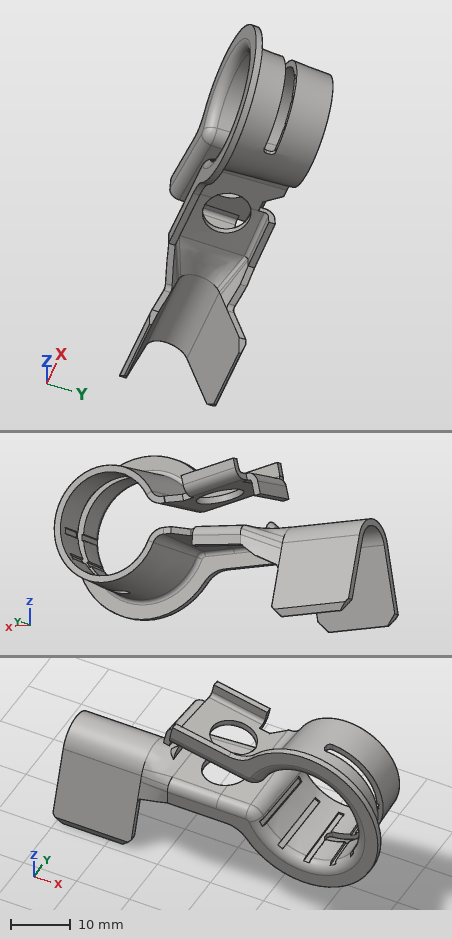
import cadquery as cq
import math

thickness = 1.15
bend_outer = 1.9
bend_inner = bend_outer - thickness

ring_x = 47.2
ring_z = 19.2
bend_line_radius = 11.4
flange_width = 2.45
flange_radius = bend_line_radius + flange_width
flange_front = -8.05
bend_y = flange_front + bend_outer
wall_length = 13.55
wall_taper = 3.1

slot_y = -0.35
slot_width = 2.1
slot_corner = 0.75
groove_width = 1.05
groove_depth = 0.3
groove_rear = 5.45
groove_count = 6
groove_first = 90
groove_step = 30

neck_radius = 0.7
flange_blend = 4.9
upper_offset = 2.9
upper_slope = 11.5
upper_end = -26.45
lower_offset = 4.3
lower_end = -25.8
hole_diameter = 8.1
hole_y = -0.4
upper_hole = -18.0
lower_hole = -18.75

lug_bend = wall_length - bend_outer
lug_drop = 1.65
upper_lug_end = -15.6
lower_lug_end = -16.6
notch_y = 4.45
notch_floor = 1.95
notch_slope_run = 2.75

end_skew = 2.5
lip_front = -5.0
lip_rear = 4.2
lip_depth = 4.9
lip_overlap = 0.9

saddle_length = 14.8
saddle_top = 16.7
saddle_radius = 5.0
leg_angle = 17.9
tip_height = 1.3
tip_inset = 0.4
corner_run = 1.7
corner_rise = 1.85
shoulder_angle = 32
crease_angle = 35
leg_crease_z = 12.2
root_z = 9.15
root_fillet = 1.2

bump_x = 19.4
bump_axis_z = 15.7
bump_radius = 2.3
bump_length = 2.7

cutter = 122.1


def sin(degrees):
    return math.sin(math.radians(degrees))


def cos(degrees):
    return math.cos(math.radians(degrees))


def polar(centre, radius, clock):
    """Point at a clockwise angle from +Z about a centre in the XZ plane."""
    return (centre[0] + radius * sin(clock), centre[1] + radius * cos(clock))


def clock_angle(start, end):
    return math.degrees(math.atan2(end[0] - start[0], end[1] - start[1]))


def tangent_centre(offset, ring_radius, radius):
    """Centre of an arc that touches both an arm edge and a ring edge."""
    reach = math.sqrt((ring_radius + radius) ** 2 - (offset + radius) ** 2)
    return (-reach, offset + radius)


def wall_point(along, depth, taper):
    """(Y, depth) of a wall point; depth is measured from the front bend's centre."""
    return (
        bend_y + along * cos(taper) - depth * sin(taper),
        along * sin(taper) + depth * cos(taper),
    )


def bend_point(radius, angle):
    return (bend_y + radius * cos(angle), radius * sin(angle))


def wall_profile(plane, base, sign, taper=wall_taper, lug=False):
    """Front bend and wall in section; the depth runs from `base` along `sign`."""

    def at(point):
        return (point[0], base + sign * point[1])

    def wall(along, depth):
        return at(wall_point(along, depth, taper))

    middle = (270 + taper) / 2
    profile = (
        plane.moveTo(*at(bend_point(bend_inner, 180)))
        .lineTo(*at(bend_point(bend_outer, 180)))
        .threePointArc(at(bend_point(bend_outer, middle)), wall(0, bend_outer))
    )
    if lug:
        outer_mid = wall(lug_bend + bend_outer * sin(45), bend_outer * cos(45))
        inner_mid = wall(lug_bend + bend_inner * sin(45), bend_inner * cos(45))
        profile = (
            profile.lineTo(*wall(lug_bend, bend_outer))
            .threePointArc(outer_mid, wall(lug_bend + bend_outer, 0))
            .lineTo(*wall(lug_bend + bend_outer, -lug_drop))
            .lineTo(*wall(lug_bend + bend_inner, -lug_drop))
            .lineTo(*wall(lug_bend + bend_inner, 0))
            .threePointArc(inner_mid, wall(lug_bend, bend_inner))
        )
    else:
        profile = profile.lineTo(*wall(wall_length, bend_outer)).lineTo(*wall(wall_length, bend_inner))
    return (
        profile.lineTo(*wall(0, bend_inner))
        .threePointArc(at(bend_point(bend_inner, middle)), at(bend_point(bend_inner, 180)))
        .close()
    )


def turned_wall(base, sign, start, sweep):
    """The wall profile turned clockwise about the Y axis."""
    body = wall_profile(cq.Workplane("YZ"), base, sign).revolve(sweep, (0, 0), (1, 0))
    return body.rotate((0, 0, 0), (0, 1, 0), start)


def arm_piece(offset, start, start_taper, end, end_taper, lug=False):
    first = wall_profile(cq.Workplane("YZ", origin=(start, 0, 0)), offset, -1, start_taper, lug)
    second = wall_profile(cq.Workplane("YZ", origin=(end, 0, 0)), offset, -1, end_taper, lug)
    wires = [first.wires().val(), second.wires().val()]
    return cq.Workplane(obj=cq.Solid.makeLoft(wires, True))


def arm(offset, end, end_taper, lug_end, hole_x):
    """Arm running to -X with its flange upwards, ring axis at the origin."""
    neck = tangent_centre(offset, bend_line_radius, neck_radius)
    neck_start = clock_angle(neck, (0, 0))
    bend = turned_wall(neck_radius, 1, neck_start, 180 - neck_start).translate((neck[0], 0, neck[1]))
    plain = arm_piece(offset, lug_end, wall_taper, neck[0], wall_taper)
    lugged = arm_piece(offset, end, end_taper, lug_end, wall_taper, lug=True)
    notch_top = bend_y + wall_length + 0.6
    notch = (
        cq.Workplane("XY")
        .moveTo(lug_end, notch_y)
        .lineTo(lug_end + notch_floor, notch_y)
        .lineTo(lug_end + notch_floor + notch_slope_run, notch_top)
        .lineTo(lug_end, notch_top)
        .close()
        .extrude(cutter, both=True)
    )
    hole = cq.Workplane("XY").center(hole_x, hole_y).circle(hole_diameter / 2).extrude(cutter, both=True)
    return plain.cut(notch).union(bend).union(lugged).cut(hole)


def end_trim():
    """Block beyond the upper arm's skewed end, pivoted at the front of the flange."""
    block = cq.Workplane("XY").box(cutter, cutter, cutter).translate((-cutter / 2, 0, 0))
    block = block.rotate((0, flange_front, 0), (0, flange_front, 1), -end_skew)
    return block.translate((upper_end, 0, 0))


def lip():
    """Lip bent off the upper arm's end, set a little askew to the arm."""
    sheet_z = -bend_outer
    centre_z = sheet_z - bend_inner
    body = (
        cq.Workplane("XZ", origin=(0, lip_rear, 0))
        .moveTo(lip_overlap, sheet_z)
        .lineTo(lip_overlap, sheet_z + thickness)
        .lineTo(0, sheet_z + thickness)
        .threePointArc(polar((0, centre_z), bend_outer, -45), (-bend_outer, centre_z))
        .lineTo(-bend_outer, -lip_depth)
        .lineTo(-bend_inner, -lip_depth)
        .lineTo(-bend_inner, centre_z)
        .threePointArc(polar((0, centre_z), bend_inner, -45), (0, sheet_z))
        .close()
        .extrude(lip_rear - lip_front)
    )
    return (
        body.rotate((0, bend_y, 0), (1, bend_y, 0), -wall_taper)
        .rotate((0, flange_front, 0), (0, flange_front, 1), -end_skew)
        .translate((upper_end, 0, upper_offset))
    )


def place_upper(point):
    return (
        point[0] * cos(upper_slope) + point[1] * sin(upper_slope),
        point[1] * cos(upper_slope) - point[0] * sin(upper_slope),
    )


def place_lower(point):
    return (point[0], -point[1])


def edge_points(offset, ring_radius, radius, end, place):
    """End, tangent points and arc middle along one edge of an arm, from the free end inwards."""
    centre = tangent_centre(offset, ring_radius, radius)
    inward = clock_angle(centre, (0, 0))
    points = [
        (end, offset),
        (centre[0], offset),
        polar(centre, radius, (180 + inward) / 2),
        polar(centre, radius, inward),
    ]
    return [place(point) for point in points]


def flange():
    """Flat flange around the ring and along both arms."""
    outer_arc = (flange_width, flange_radius, flange_blend)
    inner_arc = (0, bend_line_radius, neck_radius)
    sides = []
    for width, radius, blend in (outer_arc, inner_arc):
        upper = edge_points(upper_offset + width, radius, blend, upper_end, place_upper)
        lower = edge_points(lower_offset + width, radius, blend, lower_end, place_lower)
        sides.append((upper, lower))
    (up_out, low_out), (up_in, low_in) = sides
    return (
        cq.Workplane("XZ", origin=(0, flange_front, 0))
        .moveTo(*up_out[0])
        .lineTo(*up_out[1])
        .threePointArc(up_out[2], up_out[3])
        .threePointArc((flange_radius, 0), low_out[3])
        .threePointArc(low_out[2], low_out[1])
        .lineTo(*low_out[0])
        .lineTo(*low_in[0])
        .lineTo(*low_in[1])
        .threePointArc(low_in[2], low_in[3])
        .threePointArc((bend_line_radius, 0), up_in[3])
        .threePointArc(up_in[2], up_in[1])
        .lineTo(*up_in[0])
        .close()
        .extrude(-thickness)
    )


def ring():
    """Tapered ring wall between the two necks, slotted over its far half and grooved inside."""
    upper = place_upper(tangent_centre(upper_offset, bend_line_radius, neck_radius))
    lower = place_lower(tangent_centre(lower_offset, bend_line_radius, neck_radius))
    start = clock_angle((0, 0), upper)
    sweep = clock_angle((0, 0), lower) % 360 - start
    body = turned_wall(bend_line_radius, -1, start, sweep)
    slot = (
        cq.Workplane("XY")
        .center(flange_radius / 2, slot_y)
        .rect(flange_radius, slot_width)
        .extrude(cutter, both=True)
        .edges("|Z and <X")
        .fillet(slot_corner)
    )
    for index in range(groove_count):
        body = body.cut(groove(groove_first + index * groove_step))
    return body.cut(slot)


def groove(clock):
    """Flat-bottomed groove along the tapered bore."""
    floor_depth = bend_outer - groove_depth
    rear = wall_point(groove_rear - bend_y, floor_depth, wall_taper)
    front = wall_point(-bend_outer, floor_depth, wall_taper)
    floor_rear = bend_line_radius - rear[1]
    floor_front = bend_line_radius - front[1]
    inside = floor_rear - bend_outer
    body = (
        cq.Workplane("YZ", origin=(-groove_width / 2, 0, 0))
        .polyline([(front[0], inside), (front[0], floor_front), (rear[0], floor_rear), (rear[0], inside)])
        .close()
        .extrude(groove_width)
    )
    return body.rotate((0, 0, 0), (0, 1, 0), clock)


def saddle():
    """Arch with splayed legs, bevelled tips and clipped lower corners."""
    centre = saddle_top - saddle_radius
    inner_radius = saddle_radius - thickness
    outer_y = saddle_radius * cos(leg_angle)
    outer_z = centre + saddle_radius * sin(leg_angle)
    inner_y = inner_radius * cos(leg_angle)
    inner_z = centre + inner_radius * sin(leg_angle)
    spread = math.tan(math.radians(leg_angle))
    tip_y = outer_y + (outer_z - tip_height) * spread
    foot_y = inner_y + inner_z * spread
    body = (
        cq.Workplane("YZ")
        .moveTo(-outer_y, outer_z)
        .threePointArc((0, saddle_top), (outer_y, outer_z))
        .lineTo(tip_y, tip_height)
        .lineTo(tip_y - tip_inset, 0)
        .lineTo(foot_y, 0)
        .lineTo(inner_y, inner_z)
        .threePointArc((0, saddle_top - thickness), (-inner_y, inner_z))
        .lineTo(-foot_y, 0)
        .lineTo(-(tip_y - tip_inset), 0)
        .lineTo(-tip_y, tip_height)
        .close()
        .extrude(saddle_length)
    )
    for x, inward in ((0, 1), (saddle_length, -1)):
        corner = (
            cq.Workplane("XZ")
            .polyline([(x, 0), (x + inward * corner_run, 0), (x, corner_rise)])
            .close()
            .extrude(cutter, both=True)
        )
        body = body.cut(corner)
    return body


def arch_side(radius):
    """One side of the arch section: leg root, leg crease, then an arc's ends around its middle."""
    centre = saddle_top - saddle_radius
    leg_y = radius * cos(leg_angle)
    leg_z = centre + radius * sin(leg_angle)
    spread = math.tan(math.radians(leg_angle))
    middle = (leg_angle + shoulder_angle) / 2
    foot_z = root_z - root_fillet
    return [
        (leg_y + (leg_z - foot_z) * spread, foot_z),
        (leg_y + (leg_z - leg_crease_z) * spread, leg_crease_z),
        None,
        (leg_y, leg_z),
        (radius * cos(middle), centre + radius * sin(middle)),
        (radius * cos(shoulder_angle), centre + radius * sin(shoulder_angle)),
    ]


def channel_side(radius, bend_centre_y, drop):
    """One side of the lower arm's channel section: flange edge, then the bend as two arcs."""
    centre_z = ring_z - lower_offset
    angles = (0, crease_angle / 2, crease_angle, (crease_angle + 90) / 2, 90)
    bend = [(bend_centre_y + radius * cos(angle), centre_z + radius * sin(angle)) for angle in angles]
    return [(bend_centre_y + radius, centre_z - drop)] + bend


def half_turn(points):
    return [point and (-point[0], point[1]) for point in points]


def stretch(outline, middle, end):
    """Arc through the middle point, or a straight line where there is none."""
    return outline.threePointArc(middle, end) if middle else outline.lineTo(*end)


def channel_wire(x, front, rear, crown):
    """Closed section from the (outer, inner) points of both sides and the middles of its top."""
    outline = cq.Workplane("YZ", origin=(x, 0, 0)).moveTo(*front[0][0])
    for near, far, top in ((front[0], rear[0], crown[0]), (rear[1], front[1], crown[1])):
        outline = outline.lineTo(*near[1])
        outline = stretch(outline, near[2], near[3])
        outline = stretch(outline, near[4], near[5])
        outline = stretch(outline, top, far[5])
        outline = stretch(outline, far[4], far[3])
        outline = stretch(outline, far[2], far[1])
        outline = outline.lineTo(*far[0])
        if far is rear[0]:
            outline = outline.lineTo(*rear[1][0])
    return outline.close().wires().val()


def root_trim():
    """Block below the transition's lower edge, leaving a fillet against the saddle legs."""
    channel_x = ring_x + lower_end
    flange_edge = ring_z - lower_offset - flange_width
    outline = [(saddle_length, root_z), (channel_x, flange_edge), (channel_x, 0), (saddle_length, 0)]
    block = cq.Workplane("XZ").polyline(outline).close().extrude(cutter, both=True)
    return block.edges("<X").edges(">Z").fillet(root_fillet)


def transition():
    """Sheet changing from the saddle's arch to the lower arm's channel."""
    arch_rear = [arch_side(saddle_radius), arch_side(saddle_radius - thickness)]
    arch_front = [half_turn(side) for side in arch_rear]
    radii = (bend_outer, bend_inner)
    channel_rear = [channel_side(radius, bend_y + lug_bend, lug_drop) for radius in radii]
    channel_front = [half_turn(channel_side(radius, -bend_y, flange_width)) for radius in radii]
    crown = [(0, saddle_top), (0, saddle_top - thickness)]
    wires = [
        channel_wire(saddle_length, arch_front, arch_rear, crown),
        channel_wire(ring_x + lower_end, channel_front, channel_rear, [None, None]),
    ]
    return cq.Workplane(obj=cq.Solid.makeLoft(wires, True)).cut(root_trim())


def bump():
    """Upper half of a cone that ends in a flat face towards the ring."""
    cone = cq.Solid.makeCone(0, bump_radius, bump_length, cq.Vector(bump_x - bump_length, 0, bump_axis_z),
                             cq.Vector(1, 0, 0))
    upper_half = cq.Workplane("XY", origin=(bump_x, 0, bump_axis_z)).rect(cutter, cutter).extrude(cutter)
    return cq.Workplane(obj=cone).intersect(upper_half)


upper_arm = arm(upper_offset, upper_end, wall_taper, upper_lug_end, upper_hole).cut(end_trim()).union(lip())
upper_arm = upper_arm.rotate((0, 0, 0), (0, 1, 0), upper_slope)
lower_arm = arm(lower_offset, lower_end, 0, lower_lug_end, lower_hole).mirror("XY")
clamp = ring().union(upper_arm).union(lower_arm).union(flange())
clamp = clamp.translate((ring_x, 0, ring_z))

result = clamp.union(transition()).union(saddle()).union(bump())